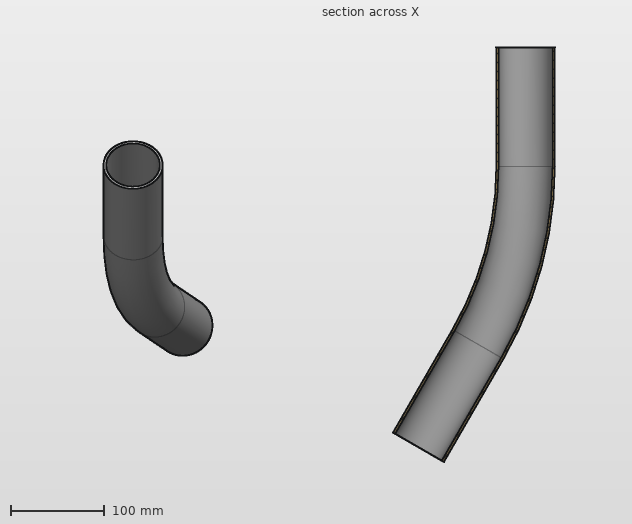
import cadquery as cq
import math

outer_diameter = 63.5
inner_diameter = 57.0
overall_height = 443.5
bend_radius = 380.0
bend_angle = 30.0

bend_sine = math.sin(math.radians(bend_angle))
bend_cosine = math.cos(math.radians(bend_angle))
leg_length = (overall_height - (bend_radius + outer_diameter / 2) * bend_sine) / (1 + bend_cosine)


def bend_point(angle_degrees):
    """Centreline (Y, Z) point after turning by the given angle from vertical."""
    angle = math.radians(angle_degrees)
    y = bend_radius * (1 - math.cos(angle))
    z = -leg_length - bend_radius * math.sin(angle)
    return y, z


bend_start = bend_point(0)
bend_middle = bend_point(bend_angle / 2)
bend_end = bend_point(bend_angle)
lower_end = (
    bend_end[0] + leg_length * bend_sine,
    bend_end[1] - leg_length * bend_cosine,
)
centreline = (
    cq.Workplane("YZ")
    .moveTo(0, 0)
    .lineTo(*bend_start)
    .threePointArc(bend_middle, bend_end)
    .lineTo(*lower_end)
)

result = (
    cq.Workplane("XY")
    .circle(outer_diameter / 2)
    .circle(inner_diameter / 2)
    .sweep(centreline)
)